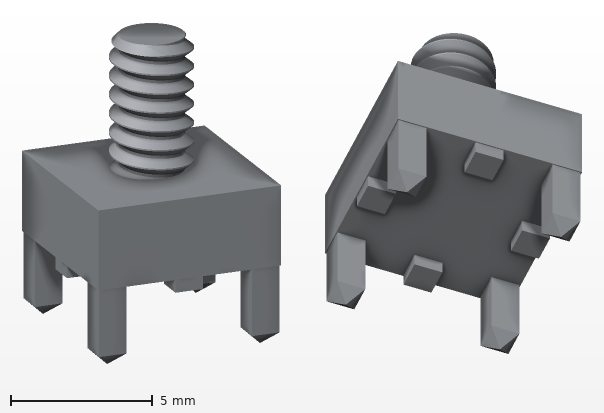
import cadquery as cq

total_height = 11.0
block_side = 7.0
block_bottom = 3.0
block_top = 6.0

leg_side = 1.06
leg_tip_height = 0.5
leg_offset = 2.93
pad_height = 0.5

crest_radius = 1.51
root_radius = 1.18
pitch = 0.7
root_flat = 0.11
crest_flat = 0.05
end_chamfer = 0.32
top_crest_z = 10.65
turns_below_crest = 8
turns_total = 10
stud_embed = 0.22
root_overlap = 0.05


def make_block():
    height = block_top - block_bottom
    return (
        cq.Workplane("XY", origin=(0, 0, block_bottom))
        .rect(block_side, block_side)
        .extrude(height)
    )


def make_leg(x, y):
    """Square leg ending in a four-sided point."""
    shaft = (
        cq.Workplane("XY", origin=(x, y, leg_tip_height))
        .rect(leg_side, leg_side)
        .extrude(block_bottom - leg_tip_height)
    )
    half = leg_side / 2
    corners = [
        cq.Vector(x + sx * half, y + sy * half, leg_tip_height)
        for sx, sy in ((-1, -1), (1, -1), (1, 1), (-1, 1))
    ]
    apex = cq.Vector(x, y, 0)
    faces = [cq.Face.makeFromWires(cq.Wire.makePolygon(corners, close=True))]
    for i, corner in enumerate(corners):
        triangle = [corner, corners[(i + 1) % 4], apex]
        faces.append(cq.Face.makeFromWires(cq.Wire.makePolygon(triangle, close=True)))
    tip = cq.Solid.makeSolid(cq.Shell.makeShell(faces))
    return shaft.union(cq.Workplane(tip))


def make_pad(x, y):
    return (
        cq.Workplane("XY", origin=(x, y, block_bottom - pad_height))
        .rect(leg_side, leg_side)
        .extrude(pad_height)
    )


def make_thread_ridge():
    """Narrow-crested V ridge swept along a left-hand helix."""
    start_z = top_crest_z - turns_below_crest * pitch
    half_base = (pitch - root_flat) / 2
    half_crest = crest_flat / 2
    slope = (half_base - half_crest) / (crest_radius - root_radius)
    half_inner = half_base + slope * root_overlap
    inner_radius = root_radius - root_overlap
    path = cq.Wire.makeHelix(
        pitch, turns_total * pitch, root_radius, center=cq.Vector(0, 0, start_z), lefthand=True
    )
    profile = cq.Workplane("XZ").polyline(
        [
            (inner_radius, start_z - half_inner),
            (crest_radius, start_z - half_crest),
            (crest_radius, start_z + half_crest),
            (inner_radius, start_z + half_inner),
        ]
    )
    return profile.close().sweep(cq.Workplane(path), isFrenet=True)


def make_stud():
    base_z = block_top - stud_embed
    length = total_height - base_z
    base = cq.Workplane("XY", origin=(0, 0, base_z))
    core = base.circle(root_radius).extrude(length)
    envelope = base.circle(crest_radius + root_overlap).extrude(length)
    envelope = envelope.faces(">Z").chamfer(end_chamfer + root_overlap)
    return core.union(make_thread_ridge().intersect(envelope))


result = make_block()
for side in (-1, 1):
    result = result.union(make_pad(side * leg_offset, 0))
    result = result.union(make_pad(0, side * leg_offset))
    for other_side in (-1, 1):
        result = result.union(make_leg(side * leg_offset, other_side * leg_offset))
result = result.union(make_stud())